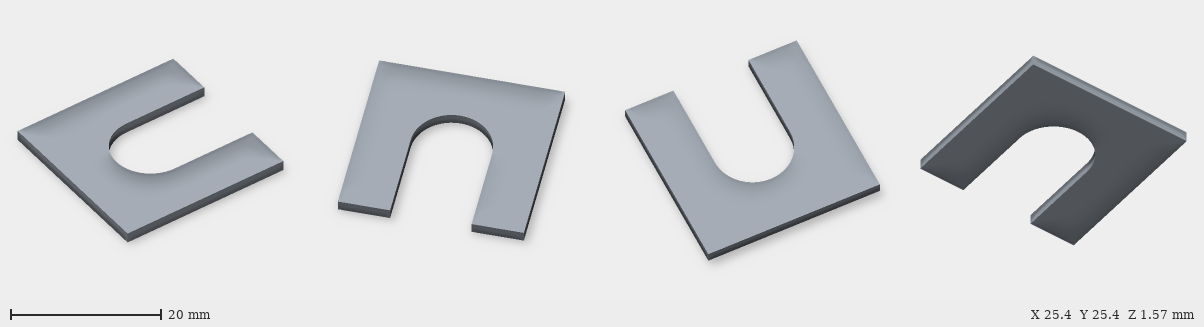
import cadquery as cq

side = 25.4
thickness = 1.57

slot_width = 11.13
slot_radius = slot_width / 2
half_side = side / 2

plate = cq.Workplane("XY").box(side, side, thickness)

slot = (
    cq.Workplane("XY")
    .moveTo(-slot_radius, half_side)
    .lineTo(-slot_radius, 0)
    .threePointArc((0, -slot_radius), (slot_radius, 0))
    .lineTo(slot_radius, half_side)
    .close()
    .extrude(thickness, both=True)
)

result = plate.cut(slot)